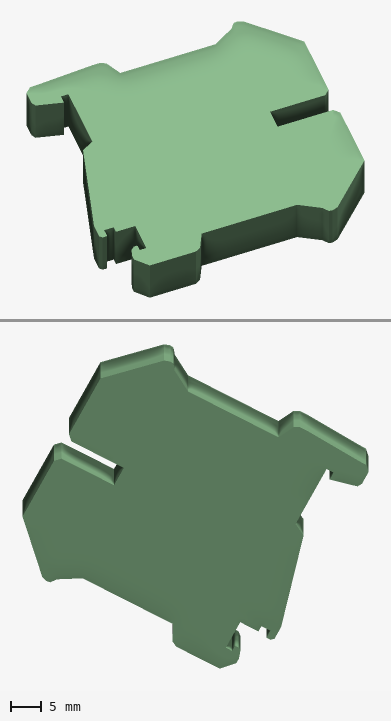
import cadquery as cq

width = 42.5
height = 45.8
thickness = 8.2

half_width = width / 2
waist_half_width = 18.1
waist_top = 32.25
waist_bottom = 15.65
top_half_width = 13.37

slot_width = 3.35
slot_depth = 10.55
slot_chamfer = 0.9

rail_seat = 6.25


def mirrored(points):
    """Reflect an outline stretch across X = 0, keeping the travel direction."""
    return [(-x, y) for x, y in reversed(points)]


right_flank = [
    (top_half_width, height),
    (20.95, 38.15),
    (half_width, 37.2),
    (21.15, 36.55),
    (20.2, 35.8),
    (waist_half_width, waist_top),
    (waist_half_width, waist_bottom),
    (20.75, 14.35),
    (half_width, 13.4),
]

hook_top = 5.1
hook_bottom = 3.5
hook_tip = 16.63
hook_root = 17.65
right_hook = [
    (half_width, 5.4),
    (19.15, hook_bottom),
    (18.27, hook_bottom),
    (17.15, 3.85),
    (hook_tip, 4.45),
    (hook_tip, 4.95),
    (16.8, hook_top),
    (hook_root, hook_top),
    (hook_root, rail_seat),
]

wedge_side = 12.7
toe_tip = 13.0
toe_top = 1.25
toe_chamfer = 0.45
notch_wall = 11.7
notch_top = 2.9
wedge = [
    (wedge_side, rail_seat),
    (wedge_side, notch_top),
    (notch_wall, notch_top),
    (notch_wall, toe_top),
    (toe_tip, toe_top),
    (toe_tip, toe_chamfer),
    (toe_tip - toe_chamfer, 0),
    (10.3, 0),
    (-5.2, 4.15),
    (-6.3, rail_seat),
]

leg_root = -17.0
barb_top = 4.95
left_leg = [
    (leg_root, rail_seat),
    (leg_root, barb_top),
    (-15.6, barb_top),
    (-16.7, 0.4),
    (-17.45, 0),
    (-19.7, 0),
    (-20.6, 0.95),
    (-20.65, 2.35),
    (-half_width, 12.05),
]

outline = right_flank + right_hook + wedge + left_leg + mirrored(right_flank)
body = cq.Workplane("XY").polyline(outline).close().extrude(thickness)

slot_half = slot_width / 2
mouth_half = slot_half + slot_chamfer
right_slot_side = [
    (mouth_half, height),
    (slot_half, height - slot_chamfer),
    (slot_half, height - slot_depth),
]
slot_outline = right_slot_side + mirrored(right_slot_side)
slot = cq.Workplane("XY").polyline(slot_outline).close().extrude(thickness)

result = body.cut(slot)